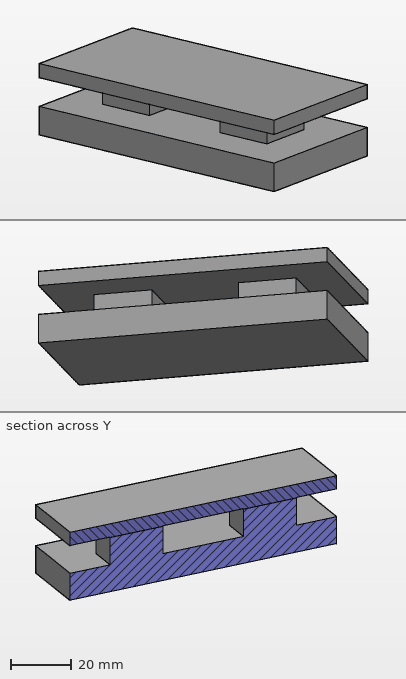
import cadquery as cq

LENGTH = 100.0
WIDTH = 50.0

BASE_HEIGHT = 10.0
POST_HEIGHT = 10.0
COVER_HEIGHT = 5.0

POST_SIDE = 20.0
POST_SPACING = 50.0
POST_CENTRES = [(-POST_SPACING / 2, 0), (POST_SPACING / 2, 0)]


def plate(height, bottom):
    """Full-size rectangular plate with its underside at the given level."""
    return cq.Workplane("XY").workplane(offset=bottom).rect(LENGTH, WIDTH).extrude(height)


def make_base():
    """Base plate with two square posts standing on it."""
    base = plate(BASE_HEIGHT, 0)
    posts = (
        cq.Workplane("XY")
        .workplane(offset=BASE_HEIGHT)
        .pushPoints(POST_CENTRES)
        .rect(POST_SIDE, POST_SIDE)
        .extrude(POST_HEIGHT)
    )
    return base.union(posts)


def make_cover():
    """Flat cover plate resting on the posts."""
    return plate(COVER_HEIGHT, BASE_HEIGHT + POST_HEIGHT)


base = make_base()
cover = make_cover()

result = cq.Compound.makeCompound([base.solids().val(), cover.solids().val()])